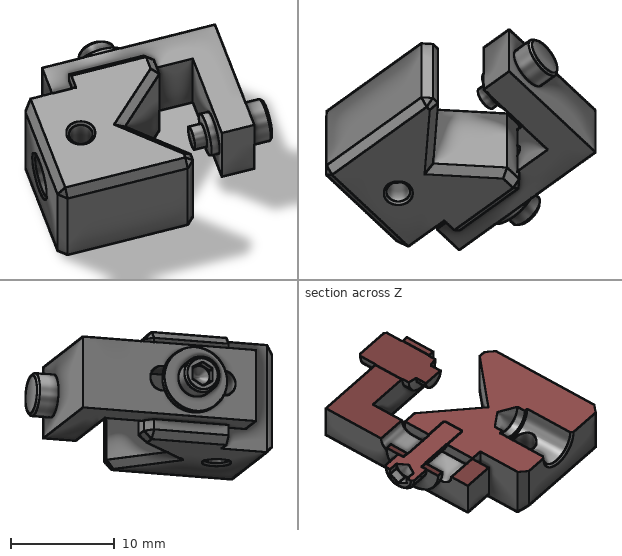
import cadquery as cq
import math


block_left = -7.62
block_right = 6.6
block_depth = 13.7
block_height = 10.67
notch_x = -5.37
notch_y = 5.37
vee_bottom_y = 8.65
edge_chamfer = 0.78

bore_diameter = 4.22
bore_depth = 5.5
pilot_diameter = 3.49
pilot_depth = 6.43
bore_chamfer = 0.23
drill_point_angle = 118.0

cross_hole_diameter = 2.3
cross_hole_chamfer = 0.25
cross_hole_y = 4.18

arm_left = -9.87
arm_right = 2.8
arm_front = 3.35
arm_back = 20.85
arm_thickness = 3.28
arm_height = 7.07
slot_y = 9.7
slot_length = 8.6
slot_width = 2.45

screw_y = 9.65
washer_diameter = 6.33
washer_thickness = 0.69
head_diameter = 3.53
head_height = 2.15
head_chamfer = 0.23
shank_diameter = 2.15
shank_length = 6.35
socket_flats = 2.05
socket_depth = 1.0

clamp_diameter = 4.18
clamp_back = 22.95
clamp_chamfer = 0.23
clamp_shoulder_y = 16.75
clamp_shoulder_taper = 0.15
clamp_point_diameter = 2.32
clamp_point_y = 15.38

POSITION_TOLERANCE = 0.02

arm_inner_x = arm_left + arm_thickness
washer_left = arm_left - washer_thickness
head_left = washer_left - head_height
shank_end = washer_left + shank_length
drill_slope = math.tan(math.radians(drill_point_angle / 2))


def rod_along_x(x_start, x_end, diameter):
    """Round rod on the cap screw axis."""
    return (
        cq.Workplane("YZ", origin=(x_start, screw_y, 0))
        .circle(diameter / 2)
        .extrude(x_end - x_start)
    )


def make_block_body():
    """Notched block with a 90 degree V in its back face and chamfered edges."""
    vee_half_width = block_depth - vee_bottom_y
    body = (
        cq.Workplane("XY", origin=(0, 0, -block_height / 2))
        .moveTo(notch_x, 0)
        .lineTo(block_right, 0)
        .lineTo(block_right, block_depth)
        .lineTo(vee_half_width, block_depth)
        .lineTo(0, vee_bottom_y)
        .lineTo(-vee_half_width, block_depth)
        .lineTo(block_left, block_depth)
        .lineTo(block_left, notch_y)
        .lineTo(notch_x, notch_y)
        .close()
        .extrude(block_height)
    )
    rim_edges = body.faces("<Z or >Z").edges().filter(is_away_from_notch)
    corner_edges = body.edges("|Z").filter(is_chamfered_corner)
    return body.newObject(rim_edges.vals() + corner_edges.vals()).chamfer(edge_chamfer)


def is_away_from_notch(edge):
    """False for the rim edges on the two sides of the notch, which stay sharp."""
    middle = edge.Center()
    within_x = middle.x < notch_x + POSITION_TOLERANCE
    within_y = POSITION_TOLERANCE < middle.y < notch_y + POSITION_TOLERANCE
    return not (within_x and within_y)


def is_chamfered_corner(edge):
    """True for the outermost upright edges, away from the V and the notch."""
    corner = edge.Center()
    at_front = abs(corner.y) < POSITION_TOLERANCE
    at_back = abs(corner.y - block_depth) < POSITION_TOLERANCE
    at_side = min(abs(corner.x - block_left), abs(corner.x - block_right)) < POSITION_TOLERANCE
    return at_front or (at_back and at_side)


def make_tapped_bore():
    """Stepped blind bore with a countersunk mouth and a drill point."""
    bore_radius = bore_diameter / 2
    pilot_radius = pilot_diameter / 2
    return (
        cq.Workplane("XY")
        .lineTo(bore_radius + bore_chamfer, 0)
        .lineTo(bore_radius, bore_chamfer)
        .lineTo(bore_radius, bore_depth)
        .lineTo(pilot_radius, bore_depth)
        .lineTo(pilot_radius, pilot_depth)
        .lineTo(0, pilot_depth + pilot_radius / drill_slope)
        .close()
        .revolve(360, (0, 0, 0), (0, 1, 0))
    )


def make_cross_hole():
    """Through hole countersunk at both ends."""
    radius = cross_hole_diameter / 2
    wide_radius = radius + cross_hole_chamfer
    half_height = block_height / 2
    return (
        cq.Workplane("XZ")
        .moveTo(0, -half_height)
        .lineTo(wide_radius, -half_height)
        .lineTo(radius, cross_hole_chamfer - half_height)
        .lineTo(radius, half_height - cross_hole_chamfer)
        .lineTo(wide_radius, half_height)
        .lineTo(0, half_height)
        .close()
        .revolve(360, (0, 0, 0), (0, 1, 0))
        .translate((0, cross_hole_y, 0))
    )


def make_block():
    channel = cq.Workplane("XY").box(
        arm_inner_x - arm_left, block_depth, arm_height, centered=(False, False, True)
    ).translate((arm_left, 0, 0))
    return (
        make_block_body()
        .cut(channel)
        .cut(make_tapped_bore())
        .cut(make_cross_hole())
        .cut(rod_along_x(arm_inner_x, shank_end, shank_diameter))
    )


def make_arm():
    """L-shaped arm with a slot in its long leg and a clamp screw hole in its back leg."""
    inner_y = arm_back - arm_thickness
    arm = (
        cq.Workplane("XY", origin=(0, 0, -arm_height / 2))
        .moveTo(arm_left, arm_front)
        .lineTo(arm_inner_x, arm_front)
        .lineTo(arm_inner_x, inner_y)
        .lineTo(arm_right, inner_y)
        .lineTo(arm_right, arm_back)
        .lineTo(arm_left, arm_back)
        .close()
        .extrude(arm_height)
    )
    slot = (
        cq.Workplane("YZ", origin=(arm_left, slot_y, 0))
        .slot2D(slot_length, slot_width)
        .extrude(arm_thickness)
    )
    clamp_hole = (
        cq.Workplane("XZ", origin=(0, arm_back, 0))
        .circle(clamp_diameter / 2)
        .extrude(arm_thickness)
    )
    return arm.cut(slot).cut(clamp_hole)


def make_washer():
    washer = rod_along_x(washer_left, arm_left, washer_diameter)
    return washer.cut(rod_along_x(washer_left, arm_left, shank_diameter))


def make_cap_screw():
    """Cap screw with a chamfered head and a hexagon socket ending in a drill point."""
    head = rod_along_x(head_left, washer_left, head_diameter).faces("<X").chamfer(head_chamfer)
    shank = rod_along_x(washer_left, shank_end, shank_diameter)
    socket = (
        cq.Workplane("YZ", origin=(head_left, screw_y, 0))
        .transformed(rotate=(0, 0, 90))
        .polygon(6, 2 * socket_flats / math.sqrt(3))
        .extrude(socket_depth)
    )
    drill_radius = socket_flats / 2
    drill_point = (
        cq.Workplane("XY", origin=(head_left + socket_depth, screw_y, 0))
        .lineTo(0, drill_radius)
        .lineTo(drill_radius / drill_slope, 0)
        .close()
        .revolve(360, (0, 0, 0), (1, 0, 0))
    )
    return head.union(shank).cut(socket).cut(drill_point)


def make_clamp_screw():
    """Headless screw, chamfered at the back, with a tapered shoulder and a reduced point."""
    body_radius = clamp_diameter / 2
    point_radius = clamp_point_diameter / 2
    return (
        cq.Workplane("XY")
        .moveTo(0, clamp_point_y)
        .lineTo(point_radius, clamp_point_y)
        .lineTo(point_radius, clamp_shoulder_y - clamp_shoulder_taper)
        .lineTo(body_radius, clamp_shoulder_y)
        .lineTo(body_radius, clamp_back - clamp_chamfer)
        .lineTo(body_radius - clamp_chamfer, clamp_back)
        .lineTo(0, clamp_back)
        .close()
        .revolve(360, (0, 0, 0), (0, 1, 0))
    )


block = make_block()
arm = make_arm()
washer = make_washer()
cap_screw = make_cap_screw()
clamp_screw = make_clamp_screw()

result = cq.Compound.makeCompound(
    [block.val(), arm.val(), washer.val(), cap_screw.val(), clamp_screw.val()]
)